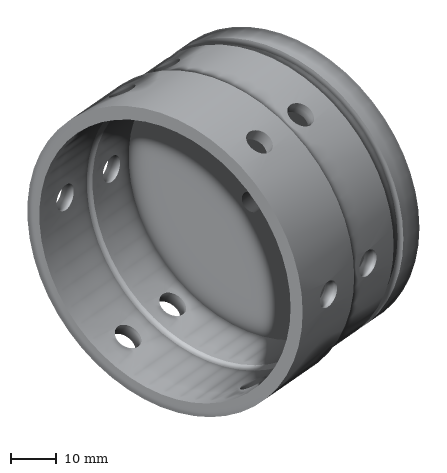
import cadquery as cq

length = 44.45
collar_diameter = 74.3
collar_length = 19.05
body_diameter = 72.4

groove_diameter = 69.2
groove_start = 34.925
groove_width = 3.6

mouth_diameter = 67.8
mouth_depth = 17.5
bore_diameter = 66.0
taper_end_depth = mouth_depth + (mouth_diameter - bore_diameter) / 2
bore_depth = 31.75

floor_hole_diameter = 4.9

radial_hole_diameter = 6.35
radial_hole_count = 6
radial_hole_positions = (9.525, 25.4)


def cylinder(diameter, start, extent):
    """Cylinder on the Y axis running from Y = start over the given extent."""
    plane = cq.Workplane("XZ", origin=(0, start, 0))
    return plane.circle(diameter / 2).extrude(-extent)


def stepped_body():
    collar = cylinder(collar_diameter, 0, collar_length)
    return collar.union(cylinder(body_diameter, collar_length, length - collar_length))


def outer_groove():
    blank = cylinder(collar_diameter, groove_start, groove_width)
    return blank.cut(cylinder(groove_diameter, groove_start, groove_width))


def tapered_bore():
    """Bore turned about Y: wide mouth, short conical step and flat floor."""
    profile = (
        cq.Workplane("XY")
        .lineTo(mouth_diameter / 2, 0)
        .lineTo(mouth_diameter / 2, mouth_depth)
        .lineTo(bore_diameter / 2, taper_end_depth)
        .lineTo(bore_diameter / 2, bore_depth)
        .lineTo(0, bore_depth)
        .close()
    )
    return profile.revolve(360, (0, 0, 0), (0, 1, 0))


def radial_hole(position, angle):
    """Hole running outwards from the axis, starting at +X and turned about Y."""
    drill = cq.Workplane("YZ").center(position, 0)
    drill = drill.circle(radial_hole_diameter / 2).extrude(collar_diameter)
    return drill.rotate((0, 0, 0), (0, 1, 0), angle)


def floor_hole():
    return cylinder(floor_hole_diameter, 0, length)


result = stepped_body().cut(outer_groove()).cut(tapered_bore()).cut(floor_hole())

for hole_position in radial_hole_positions:
    for index in range(radial_hole_count):
        hole_angle = index * 360 / radial_hole_count
        result = result.cut(radial_hole(hole_position, hole_angle))